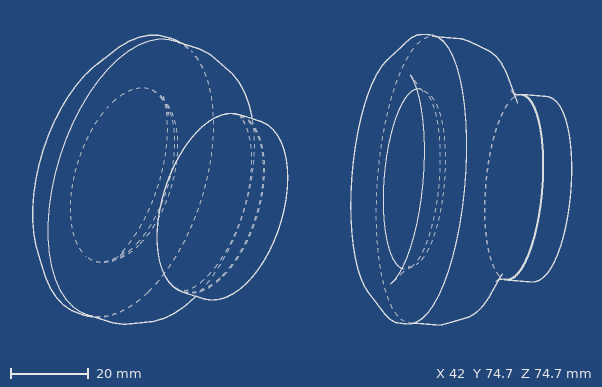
import cadquery as cq
import math


RING_LENGTH = 8.8
CROWN = 0.05
CREST_RADIUS = 37.37
BAND_RADIUS = CREST_RADIUS - CROWN
BAND_CREST_X = 7.0
FRONT_CREST_RADIUS = 30.0
BEVEL_END_X = 5.85
BEVEL_FRONT_RADIUS = BAND_RADIUS - (BEVEL_END_X - CROWN)
RING_BORE_RADIUS = 23.3
RING_BORE_X = 5.5
MOUTH_RADIUS = RING_BORE_RADIUS + RING_BORE_X - CROWN
RING_EDGE_FILLET = 0.5
SEAT_RADIUS = 36.7

DISH_RIM_X = 6.2
DISH_FLOOR_X = 8.1
DISH_WALL_ANGLE = math.radians(30)
DISH_FILLET = 0.9

TOTAL_LENGTH = 42.05
BODY_RADIUS = 37.0
TAPER_START_X = 16.6
TAPER_ANGLE = math.radians(20)
TAPER_FRONT_FILLET = 4.0
SHOULDER_X = 23.55
SHOULDER_ANGLE = math.radians(60)
SHOULDER_FILLET = 3.0
GROOVE_RADIUS = 47.6 / 2
GROOVE_FILLET = 6.0
NECK_RADIUS = 48.0 / 2
NECK_START_X = 34.0
NECK_STEP = NECK_RADIUS - GROOVE_RADIUS
NECK_END_FILLET = 1.5


def revolve_profile(points):
    """Revolve a closed (x, radius) outline about X into one solid.

    A point with a third value is a corner rounded by a tangent arc of that radius.
    """
    path = []
    for index, (x, r, *fillet) in enumerate(points):
        corner = cq.Vector(x, r)
        if not fillet:
            path.append((corner,))
            continue
        before = cq.Vector(*points[index - 1][:2])
        after = cq.Vector(*points[(index + 1) % len(points)][:2])
        to_before = (before - corner).normalized()
        to_after = (after - corner).normalized()
        half_angle = to_before.getAngle(to_after) / 2
        setback = fillet[0] / math.tan(half_angle)
        middle_distance = fillet[0] / math.sin(half_angle) - fillet[0]
        middle = corner + (to_before + to_after).normalized() * middle_distance
        path.append((corner + to_before * setback, middle, corner + to_after * setback))

    outline = cq.Workplane("XY").moveTo(path[0][0].x, path[0][0].y)
    for step in path[1:]:
        outline = outline.lineTo(step[0].x, step[0].y)
        if len(step) > 1:
            outline = outline.threePointArc(step[1].toTuple()[:2], step[2].toTuple()[:2])
    return outline.close().revolve(360, (0, 0, 0), (1, 0, 0))


def make_ring():
    return revolve_profile([
        (RING_LENGTH, SEAT_RADIUS),
        (DISH_RIM_X, RING_BORE_RADIUS),
        (RING_BORE_X, RING_BORE_RADIUS, RING_EDGE_FILLET),
        (CROWN, MOUTH_RADIUS, RING_EDGE_FILLET),
        (0, FRONT_CREST_RADIUS),
        (CROWN, BEVEL_FRONT_RADIUS, RING_EDGE_FILLET),
        (BEVEL_END_X, BAND_RADIUS, RING_EDGE_FILLET),
        (BAND_CREST_X, CREST_RADIUS),
        (RING_LENGTH, BAND_RADIUS, RING_EDGE_FILLET),
    ])


def make_housing():
    dish_depth = DISH_FLOOR_X - DISH_RIM_X
    floor_radius = RING_BORE_RADIUS - dish_depth * math.tan(DISH_WALL_ANGLE)
    shoulder_radius = BODY_RADIUS - (SHOULDER_X - TAPER_START_X) * math.tan(TAPER_ANGLE)
    groove_x = SHOULDER_X + (shoulder_radius - GROOVE_RADIUS) / math.tan(SHOULDER_ANGLE)
    return revolve_profile([
        (DISH_FLOOR_X, 0),
        (DISH_FLOOR_X, floor_radius, DISH_FILLET),
        (DISH_RIM_X, RING_BORE_RADIUS),
        (RING_LENGTH, SEAT_RADIUS),
        (RING_LENGTH, BODY_RADIUS),
        (TAPER_START_X, BODY_RADIUS, TAPER_FRONT_FILLET),
        (SHOULDER_X, shoulder_radius, SHOULDER_FILLET),
        (groove_x, GROOVE_RADIUS, GROOVE_FILLET),
        (NECK_START_X - NECK_STEP, GROOVE_RADIUS),
        (NECK_START_X, NECK_RADIUS),
        (TOTAL_LENGTH, NECK_RADIUS, NECK_END_FILLET),
        (TOTAL_LENGTH, 0),
    ])


ring = make_ring()
housing = make_housing()
result = cq.Compound.makeCompound([ring.val(), housing.val()])